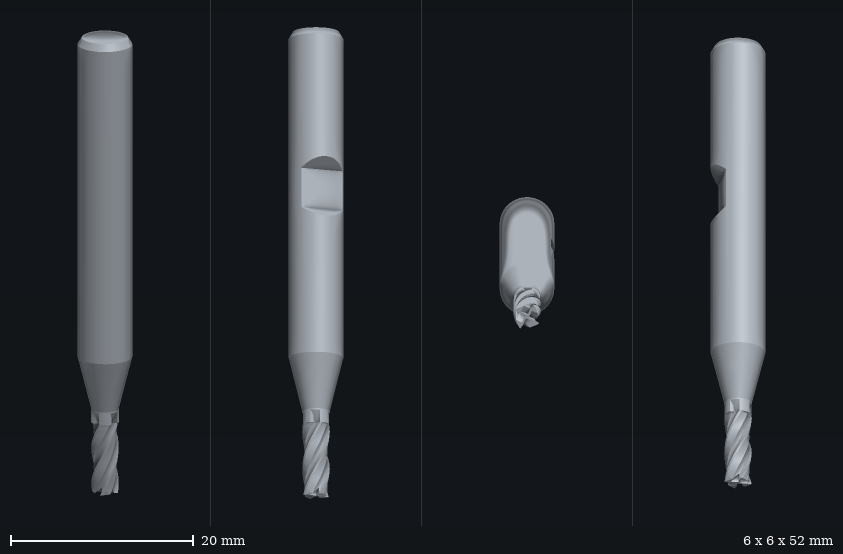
import cadquery as cq
import math

TOOL_LENGTH = 52.0
SHANK_DIAMETER = 6.0
CUTTER_DIAMETER = 3.0
SHANK_RADIUS = SHANK_DIAMETER / 2
CUTTER_RADIUS = CUTTER_DIAMETER / 2

CUTTING_LENGTH = 8.0
NECK_TOP = 9.5
TAPER_TOP = 15.5

CHAMFER_HEIGHT = 0.8
CHAMFER_WIDTH = 0.45

FLAT_DEPTH = 1.25
FLAT_BOTTOM = 31.9
FLAT_TOP = 36.25
FLAT_LOWER_RUN = 1.05
FLAT_UPPER_RUN = 1.25

FLUTE_COUNT = 4
TOOTH_PITCH = 360 / FLUTE_COUNT
HELIX_ANGLE = 30
HELIX_LEAD = math.pi * CUTTER_DIAMETER / math.tan(math.radians(HELIX_ANGLE))
CUTTING_TWIST = 360 * CUTTING_LENGTH / HELIX_LEAD
CORE_RADIUS = 0.9
CORE_ANGLE = 74
LAND_END_RADIUS = 1.45
LAND_END_ANGLE = 10
HEEL_RADIUS = 1.25
HEEL_ANGLE = 50
RUNOUT_TOP = 9.35

NECK_LAND_ANGLE = 50
NECK_HEEL_ANGLE = 60

GASH_HEIGHT = 0.8
GASH_WIDTH = 0.85
GASH_START = 0.2


def polar(radius, degrees):
    angle = math.radians(degrees)
    return (radius * math.cos(angle), radius * math.sin(angle))


def fluted_section(land_end, heel):
    """Cross-section with cutting edges on the axes; land_end and heel are points of the tooth on +X,
    each given as (radius, angle)."""
    section = cq.Workplane("XY").moveTo(CUTTER_RADIUS, 0)
    for i in range(FLUTE_COUNT):
        start = i * TOOTH_PITCH
        land_radius, land_angle = land_end
        heel_radius, heel_angle = heel
        section = section.threePointArc(
            polar((CUTTER_RADIUS + land_radius) / 2, start + land_angle / 2),
            polar(land_radius, start + land_angle),
        )
        section = section.lineTo(*polar(heel_radius, start + heel_angle))
        section = section.threePointArc(
            polar(CORE_RADIUS, start + CORE_ANGLE),
            polar(CUTTER_RADIUS, start + TOOTH_PITCH),
        )
    return section.close()


def end_gash():
    """Wedge on the leading side of the tooth on +X."""
    return (
        cq.Workplane("YZ", origin=(GASH_START, 0, 0))
        .polyline([(0, 0), (0, GASH_HEIGHT), (-GASH_WIDTH, 0)])
        .close()
        .extrude(CUTTER_RADIUS)
    )


def make_cutter():
    section = fluted_section((LAND_END_RADIUS, LAND_END_ANGLE), (HEEL_RADIUS, HEEL_ANGLE))
    cutter = section.twistExtrude(CUTTING_LENGTH, CUTTING_TWIST)
    for i in range(FLUTE_COUNT):
        cutter = cutter.cut(end_gash().rotate((0, 0, 0), (0, 0, 1), i * TOOTH_PITCH))
    return cutter


def flute_runout():
    """Straight flute ends in the neck, becoming shallower towards RUNOUT_TOP."""
    height = RUNOUT_TOP - CUTTING_LENGTH
    space = cq.Workplane("XY", origin=(0, 0, CUTTING_LENGTH)).circle(CUTTER_RADIUS).extrude(height)
    rising_floor = (
        cq.Workplane("XZ")
        .moveTo(0, CUTTING_LENGTH)
        .lineTo(CORE_RADIUS, CUTTING_LENGTH)
        .lineTo(CUTTER_RADIUS, RUNOUT_TOP)
        .lineTo(0, RUNOUT_TOP)
        .close()
        .revolve(360, (0, 0, 0), (0, 1, 0))
    )
    section = fluted_section((CUTTER_RADIUS, NECK_LAND_ANGLE), (HEEL_RADIUS, NECK_HEEL_ANGLE))
    lands = (
        section.extrude(height)
        .rotate((0, 0, 0), (0, 0, 1), CUTTING_TWIST)
        .translate((0, 0, CUTTING_LENGTH))
    )
    return space.cut(lands).cut(rising_floor)


def clamping_flat():
    """Trapezoidal notch across the whole shank."""
    floor = SHANK_RADIUS - FLAT_DEPTH
    return (
        cq.Workplane("YZ")
        .polyline([
            (floor, FLAT_BOTTOM),
            (SHANK_RADIUS, FLAT_BOTTOM - FLAT_LOWER_RUN),
            (SHANK_RADIUS, FLAT_TOP + FLAT_UPPER_RUN),
            (floor, FLAT_TOP),
        ])
        .close()
        .extrude(SHANK_RADIUS, both=True)
    )


def make_shank():
    """Neck, taper and cylindrical shank in one revolved body."""
    blank = (
        cq.Workplane("XZ")
        .moveTo(0, CUTTING_LENGTH)
        .lineTo(CUTTER_RADIUS, CUTTING_LENGTH)
        .lineTo(CUTTER_RADIUS, NECK_TOP)
        .lineTo(SHANK_RADIUS, TAPER_TOP)
        .lineTo(SHANK_RADIUS, TOOL_LENGTH - CHAMFER_HEIGHT)
        .lineTo(SHANK_RADIUS - CHAMFER_WIDTH, TOOL_LENGTH)
        .lineTo(0, TOOL_LENGTH)
        .close()
        .revolve(360, (0, 0, 0), (0, 1, 0))
    )
    return blank.cut(flute_runout()).cut(clamping_flat())


cutter = make_cutter()
shank = make_shank()
result = cq.Compound.makeCompound([cutter.val(), shank.val()])